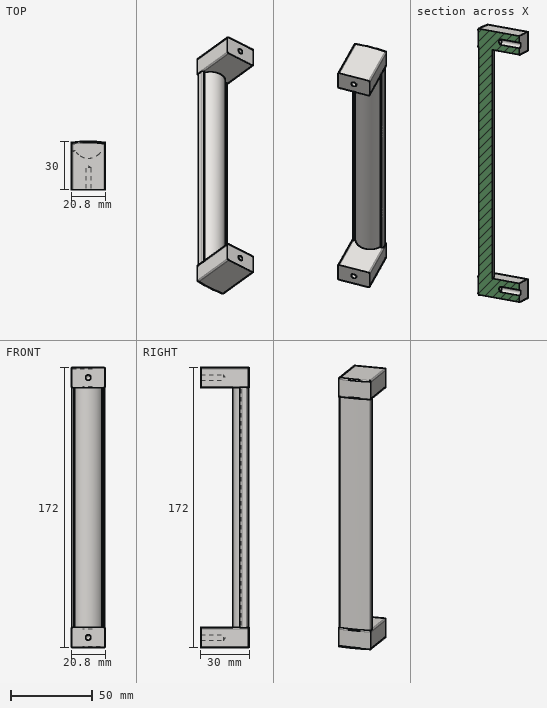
import cadquery as cq
import math

width = 20.8
depth = 30.0
height = 172.0

block_height = 12.4
back_crown = 0.9
edge_radius = 0.9

bar_width = 20.3
bar_inset = 0.5
bar_thickness = 10.0
bar_side_length = 3.6
bar_back_radius = 0.7
shoulder_radius = 1.2
groove_depth = 0.7
crown_width = 16.3

hole_diameter = 3.3
hole_depth = 13.8
drill_tip_angle = 118

front_y = -depth / 2
back_y = depth / 2


def drilled_hole(center_z):
    """Cylinder with a conical tip, running back from the mounting plane."""
    radius = hole_diameter / 2
    tip_length = radius / math.tan(math.radians(drill_tip_angle / 2))
    tip_base_y = front_y + hole_depth
    return (
        cq.Workplane("XY", origin=(0, 0, center_z))
        .moveTo(0, front_y)
        .lineTo(radius, front_y)
        .lineTo(radius, tip_base_y)
        .lineTo(0, tip_base_y + tip_length)
        .close()
        .revolve(360, (0, 0, 0), (0, 1, 0))
    )


def end_block(bottom_z):
    """Block with a crowned back, rounded along its length and the back arcs, with a mounting hole."""
    half = width / 2
    block = (
        cq.Workplane("XY", origin=(0, 0, bottom_z))
        .moveTo(-half, front_y)
        .lineTo(half, front_y)
        .lineTo(half, back_y - back_crown)
        .threePointArc((0, back_y), (-half, back_y - back_crown))
        .close()
        .extrude(block_height)
    )
    rounded_edges = block.edges("|Y").add(block.edges("%CIRCLE"))
    block = rounded_edges.fillet(edge_radius)
    return block.cut(drilled_hole(bottom_z + block_height / 2))


def grip_bar():
    """Bar with crowned back and front, and a grooved, rounded shoulder on each side."""
    half = bar_width / 2
    bar_back = back_y - bar_inset
    bar_front = bar_back - bar_thickness
    side_back = bar_back - back_crown
    side_front = side_back - bar_side_length
    shoulder_y = side_front - shoulder_radius
    shoulder_x = half - shoulder_radius
    groove_y = shoulder_y + groove_depth
    crown_half = crown_width / 2
    profile = (
        cq.Workplane("XY", origin=(0, 0, block_height / 2))
        .moveTo(-half, side_back)
        .threePointArc((0, bar_back), (half, side_back))
        .lineTo(half, side_front)
        .radiusArc((shoulder_x, shoulder_y), shoulder_radius)
        .lineTo(shoulder_x, groove_y)
        .lineTo(crown_half, groove_y)
        .threePointArc((0, bar_front), (-crown_half, groove_y))
        .lineTo(-shoulder_x, groove_y)
        .lineTo(-shoulder_x, shoulder_y)
        .radiusArc((-half, side_front), shoulder_radius)
        .close()
    )
    bar = profile.extrude(height - block_height)
    outer_edges = bar.faces(">X or <X").edges("|Z").edges(">Y")
    return outer_edges.fillet(bar_back_radius)


lower_block = end_block(0)
upper_block = end_block(height - block_height)
result = lower_block.union(upper_block).union(grip_bar())